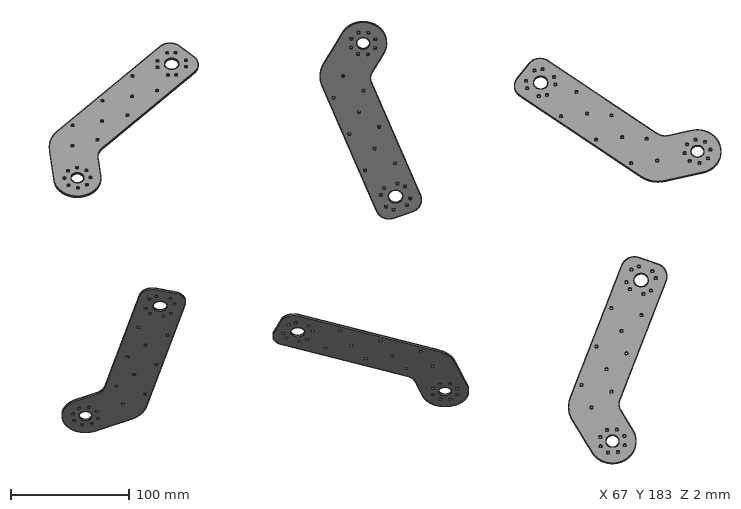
import cadquery as cq
import math

thickness = 2.0
foot_radius = 20.0
arm_width = 40.0
overall_width = 67.0
overall_length = 183.0
corner_radius = 11.5
foot_angle = 40.0
outer_bend_radius = 24.0
inner_bend_radius = 12.0
arm_left = foot_radius - overall_width
arm_right = arm_left + arm_width
arm_center = arm_left + arm_width / 2
arm_top = overall_length - foot_radius

arm_bore_diameter = 12.0
arm_bore_height = 144.5
foot_bore_diameter = 11.0
small_diameter = 2.5
foot_circle_radius = 11.0
foot_hole_count = 8
pair_far = 11.0
pair_near = 6.0
row_pitch = 36.8
row_count = 3
left_row = (arm_center - 15.0, 38.6)
middle_row = (arm_center, 22.3)
right_row = (arm_center + 11.0, 41.5)


def make_plate():
    """Outline with sharp bends, extruded and then rounded at its corners."""
    slope = math.tan(math.radians(foot_angle))
    normal_x = foot_radius * math.sin(math.radians(foot_angle))
    normal_y = foot_radius * math.cos(math.radians(foot_angle))
    upper_tangent = (normal_x, normal_y)
    lower_tangent = (-normal_x, -normal_y)
    outer_bend = (arm_left, -normal_y - slope * (arm_left + normal_x))
    inner_bend = (arm_right, normal_y + slope * (normal_x - arm_right))
    end_middle = (normal_y, -normal_x)
    plate = (
        cq.Workplane("XY")
        .moveTo(arm_left, arm_top)
        .lineTo(arm_right, arm_top)
        .lineTo(*inner_bend)
        .lineTo(*upper_tangent)
        .threePointArc(end_middle, lower_tangent)
        .lineTo(*outer_bend)
        .close()
        .extrude(thickness)
    )

    def round_corner(body, point, radius):
        nearest = cq.selectors.NearestToPointSelector((*point, thickness / 2))
        return body.edges("|Z").edges(nearest).fillet(radius)

    plate = round_corner(plate, (arm_left, arm_top), corner_radius)
    plate = round_corner(plate, (arm_right, arm_top), corner_radius)
    plate = round_corner(plate, inner_bend, inner_bend_radius)
    return round_corner(plate, outer_bend, outer_bend_radius)


def holes(points, diameter):
    """Through-hole cutters at the given points."""
    return cq.Workplane("XY").pushPoints(points).circle(diameter / 2).extrude(thickness)


def arm_bolt_points():
    """Four pairs of holes around the arm's bore."""
    offsets = [(pair_near, pair_far), (pair_far, pair_near)]
    return [
        (arm_center + side * x, arm_bore_height + end * y)
        for x, y in offsets
        for side in (-1, 1)
        for end in (-1, 1)
    ]


def foot_bolt_points():
    """Evenly spaced holes around the foot's bore."""
    angles = [2 * math.pi * i / foot_hole_count for i in range(foot_hole_count)]
    return [(foot_circle_radius * math.cos(a), foot_circle_radius * math.sin(a)) for a in angles]


def row_points(start):
    """A lengthwise row of holes rising from its lowest hole."""
    x, y = start
    return [(x, y + i * row_pitch) for i in range(row_count)]


small_points = arm_bolt_points() + foot_bolt_points()
for row_start in (left_row, middle_row, right_row):
    small_points += row_points(row_start)

result = (
    make_plate()
    .cut(holes([(arm_center, arm_bore_height)], arm_bore_diameter))
    .cut(holes([(0, 0)], foot_bore_diameter))
    .cut(holes(small_points, small_diameter))
)